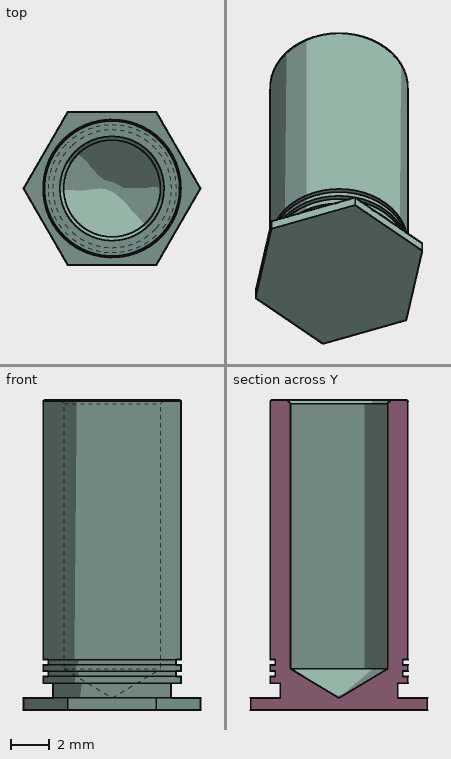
import cadquery as cq
import math

across_flats = 7.9
head_height = 0.64

total_height = 16.0
barrel_diameter = 7.12
barrel_chamfer = 0.08
neck_diameter = 6.1
neck_top = 1.38
groove_diameter = 6.6
groove_width = 0.27
groove_bottoms = (1.75, 2.34)

bore_diameter = 5.0
bore_entry_diameter = 5.38
bore_tip_height = head_height
drill_point_angle = 118.0


def make_head():
    across_corners = across_flats / math.cos(math.radians(30))
    return cq.Workplane("XY").polygon(6, across_corners).extrude(head_height)


def make_barrel():
    barrel = (
        cq.Workplane("XY").workplane(offset=neck_top)
        .circle(barrel_diameter / 2).extrude(total_height - neck_top)
        .faces(">Z").chamfer(barrel_chamfer)
    )
    neck = (
        cq.Workplane("XY").workplane(offset=head_height)
        .circle(neck_diameter / 2).extrude(neck_top - head_height)
    )
    return barrel.union(neck)


def make_groove(bottom):
    return (
        cq.Workplane("XY").workplane(offset=bottom)
        .circle(barrel_diameter / 2).circle(groove_diameter / 2).extrude(groove_width)
    )


def make_bore():
    bore_radius = bore_diameter / 2
    entry_radius = bore_entry_diameter / 2
    point_height = bore_radius / math.tan(math.radians(drill_point_angle / 2))
    lead_in_depth = entry_radius - bore_radius
    half_profile = [
        (0, bore_tip_height),
        (bore_radius, bore_tip_height + point_height),
        (bore_radius, total_height - lead_in_depth),
        (entry_radius, total_height),
        (0, total_height),
    ]
    return cq.Workplane("XZ").polyline(half_profile).close().revolve(360, (0, 0), (0, 1))


result = make_head().union(make_barrel())
for groove_bottom in groove_bottoms:
    result = result.cut(make_groove(groove_bottom))
result = result.cut(make_bore())